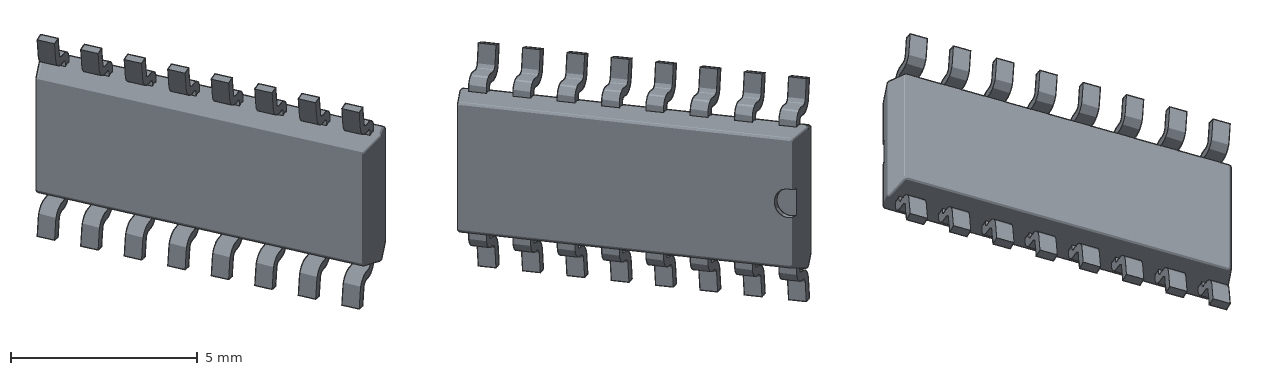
import cadquery as cq
import math

body_length = 9.98
body_height = 3.98
body_thickness = 1.45
belt_thickness = 0.04
draft_angle = 15.0
edge_radius = 0.1

notch_radius = 0.4
notch_depth = 0.2
notch_inset = 0.3

lead_count = 8
lead_row_length = 8.89
lead_pitch = lead_row_length / (lead_count - 1)
lead_width = 0.51
lead_thickness = 0.25
lead_span = 6.23
stub_end = 2.09
shoulder_inner_radius = 0.09
flat_length = 0.15
ankle_inner_radius = 0.16
foot_tilt = 8.0
lead_root = 1.7


def make_body():
    """Belt with a drafted half on each side; the corners and both face rims are rounded."""
    half_belt = belt_thickness / 2
    half_depth = (body_thickness - belt_thickness) / 2
    belt = cq.Workplane("XY").box(body_length, belt_thickness, body_height)
    front_half = (
        cq.Workplane("XZ", origin=(0, -half_belt, 0))
        .rect(body_length, body_height)
        .extrude(half_depth, taper=draft_angle)
    )
    back_half = front_half.mirror("XZ")
    body = belt.union(front_half).union(back_half)
    corner_edges = body.edges("(not #Y) and (not |X) and (not |Z)")
    body = corner_edges.fillet(edge_radius)
    return body.faces("<Y or >Y").edges().fillet(edge_radius)


def make_notch():
    """Cylinder that cuts the half-round index notch."""
    notch_floor = body_thickness / 2 - notch_depth
    notch_center = -body_length / 2 + notch_inset
    return (
        cq.Workplane("XZ", origin=(notch_center, notch_floor, 0))
        .circle(notch_radius)
        .extrude(-2 * notch_depth)
    )


def arc_point(center, radius, angle):
    """Point on a circle in the YZ plane, angle in degrees from +Y towards +Z."""
    turn = math.radians(angle)
    return (center[0] + radius * math.cos(turn), center[1] + radius * math.sin(turn))


def make_lead():
    """Upper lead centred on X = 0: stub, shoulder bend, flat, ankle bend, tilted foot."""
    half_thickness = lead_thickness / 2
    shoulder_outer_radius = shoulder_inner_radius + lead_thickness
    ankle_outer_radius = ankle_inner_radius + lead_thickness
    shoulder = (half_thickness - shoulder_outer_radius, stub_end)
    ankle = (
        shoulder[0] - flat_length,
        stub_end + shoulder_outer_radius + ankle_inner_radius,
    )

    ankle_start = 270
    ankle_end = 180 + foot_tilt
    ankle_middle = (ankle_start + ankle_end) / 2
    ankle_inner_end = arc_point(ankle, ankle_inner_radius, ankle_end)
    ankle_outer_end = arc_point(ankle, ankle_outer_radius, ankle_end)

    foot_rise = lead_span / 2 - ankle_inner_end[1]
    foot_shift = -foot_rise * math.tan(math.radians(foot_tilt))
    foot_inner_tip = (ankle_inner_end[0] + foot_shift, ankle_inner_end[1] + foot_rise)
    foot_outer_tip = (ankle_outer_end[0] + foot_shift, ankle_outer_end[1] + foot_rise)

    return (
        cq.Workplane("YZ", origin=(-lead_width / 2, 0, 0))
        .moveTo(half_thickness, lead_root)
        .lineTo(half_thickness, stub_end)
        .threePointArc(
            arc_point(shoulder, shoulder_outer_radius, 45),
            arc_point(shoulder, shoulder_outer_radius, 90),
        )
        .lineTo(*arc_point(ankle, ankle_inner_radius, ankle_start))
        .threePointArc(arc_point(ankle, ankle_inner_radius, ankle_middle), ankle_inner_end)
        .lineTo(*foot_inner_tip)
        .lineTo(*foot_outer_tip)
        .lineTo(*ankle_outer_end)
        .threePointArc(
            arc_point(ankle, ankle_outer_radius, ankle_middle),
            arc_point(ankle, ankle_outer_radius, ankle_start),
        )
        .lineTo(*arc_point(shoulder, shoulder_inner_radius, 90))
        .threePointArc(
            arc_point(shoulder, shoulder_inner_radius, 45),
            arc_point(shoulder, shoulder_inner_radius, 0),
        )
        .lineTo(-half_thickness, lead_root)
        .close()
        .extrude(lead_width)
    )


result = make_body().cut(make_notch())

upper_lead = make_lead()
lower_lead = upper_lead.mirror("XY")
for index in range(lead_count):
    lead_x = index * lead_pitch - lead_row_length / 2
    for lead in (upper_lead, lower_lead):
        result = result.union(lead.translate((lead_x, 0, 0)))